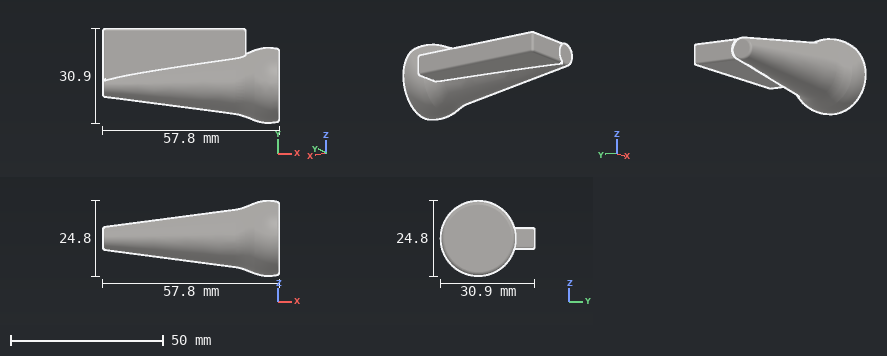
import cadquery as cq
import math

length = 57.78

tip_radius = 3.74
taper_angle = math.radians(7.5)
ball_radius = 12.39
ball_center_x = 54.2
flare_angle = math.radians(21.7)
neck_blend_radius = 13.0
tip_round = 0.85
end_round = 1.1

blade_length = 46.75
blade_reach = 18.55
blade_thickness = 7.0
blade_edge_round = 0.8


def along(start, angle, distance):
    """Point reached from start after a distance in the direction angle."""
    x, r = start
    return (x + distance * math.cos(angle), r + distance * math.sin(angle))


def ball_point(x):
    """Point of the ball outline at the given X."""
    return (x, math.sqrt(ball_radius**2 - (x - ball_center_x) ** 2))


def make_handle():
    """Revolve the sharp-edged half outline of the handle about the X axis."""
    flare_end = ball_point(ball_center_x - ball_radius * math.sin(flare_angle))

    flare_slope = math.tan(flare_angle)
    taper_slope = math.tan(taper_angle)
    flare_start_radius = flare_end[1] - flare_slope * flare_end[0]
    corner_x = (tip_radius - flare_start_radius) / (flare_slope - taper_slope)
    corner = (corner_x, tip_radius + taper_slope * corner_x)
    setback = neck_blend_radius * math.tan((flare_angle - taper_angle) / 2)
    blend_start = along(corner, taper_angle, -setback)
    blend_end = along(corner, flare_angle, setback)

    outline = (
        cq.Workplane("XZ")
        .lineTo(0, tip_radius)
        .lineTo(*blend_start)
        .tangentArcPoint(blend_end, relative=False)
        .lineTo(*flare_end)
        .threePointArc(ball_point(ball_center_x), ball_point(length))
        .lineTo(length, 0)
        .close()
    )
    return outline.revolve(360, (0, 0, 0), (1, 0, 0))


def round_ends(handle):
    """Round the rims of the small tip and of the ball end."""
    handle = handle.faces("<X").edges().fillet(tip_round)
    return handle.faces(">X").edges().fillet(end_round)


def make_blade():
    """Plate from the handle axis outward, with its exposed edges rounded."""
    blade = cq.Workplane("XY").box(
        blade_length, blade_reach, blade_thickness, centered=(False, False, True)
    )
    return blade.faces("<X or >X or >Y").edges("not <Y").fillet(blade_edge_round)


sharp_handle = make_handle()
result = make_blade().cut(sharp_handle).union(round_ends(sharp_handle))